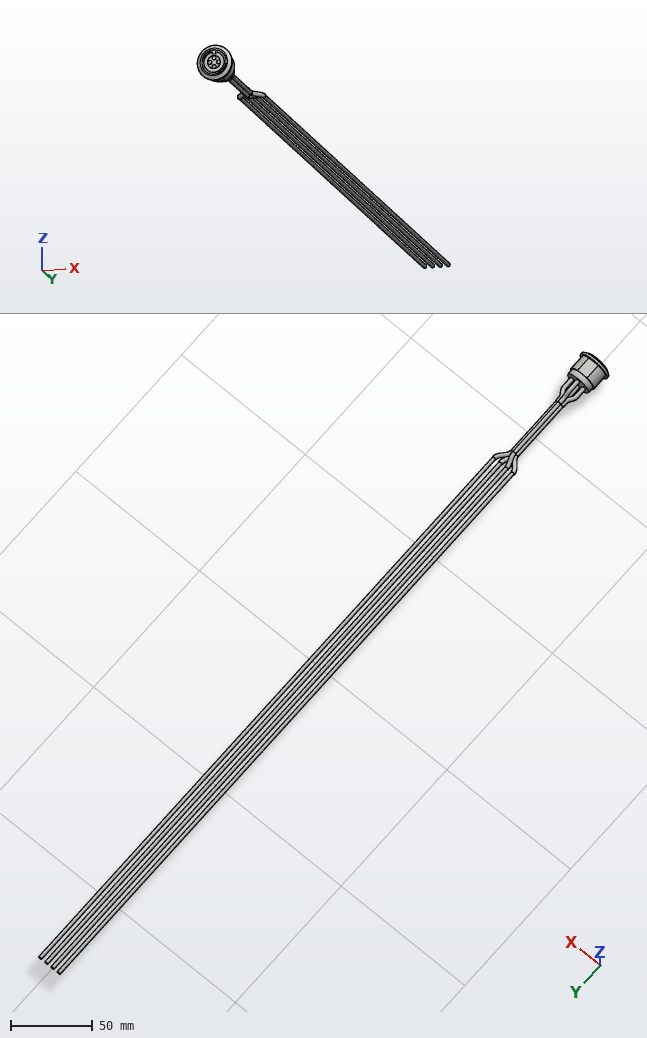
import cadquery as cq
import math

TOTAL_LENGTH = 517.86

FLANGE_DIAMETER = 22.0
FLANGE_THICKNESS = 3.08
FLANGE_BEVEL_DEPTH = 1.5
THREAD_DIAMETER = 19.0
THREAD_END_Y = 13.8
BODY_DIAMETER = 17.4
BODY_END_Y = 17.8
BODY_TAPER_LENGTH = 1.4
BODY_TAPER_ANGLE = 14.0

GROOVE_OUTER_DIAMETER = 15.4
GROOVE_INNER_DIAMETER = 13.0
GROOVE_DEPTH = 1.0
KEYWAY_WIDTH = 2.4
KEYWAY_INNER_Z = 5.1
SOCKET_DIAMETER = 8.2
SOCKET_DEPTH = 0.5
CONTACT_HOLE_DIAMETER = 2.5
CONTACT_HOLE_RADIUS = 2.8
CONTACT_HOLE_DEPTH = 1.0

SLEEVE_DIAMETER = 3.0
WIRE_DIAMETER = 2.5
WIRE_EMBEDMENT = 1.0
WIRE_EXIT_RADIUS = 4.7
BUNDLE_RADIUS = 1.8
FREE_WIRE_PITCH = 5.0

SPREAD_START_Y = 25.0
SPREAD_END_Y = 32.2
SLEEVE_END_Y = 35.5
FAN_START_Y = 78.2
FAN_END_Y = 88.3

SPREAD_CORNER = 1.4
FAN_CORNER = 1.8

ALONG = cq.Vector(0, 1, 0)


def cylinder(diameter, y_start, y_end, x=0.0, z=0.0):
    """Round bar along Y."""
    bar = cq.Solid.makeCylinder(diameter / 2, y_end - y_start, cq.Vector(x, y_start, z), ALONG)
    return cq.Workplane(bar)


def points_on_axes(radius):
    """Left, top, bottom and right (x, z) points around the Y axis."""
    return [(-radius, 0), (0, radius), (0, -radius), (radius, 0)]


def connector_body():
    """Bevelled flange, flatted thread and tapered rear barrel."""
    flange_radius = FLANGE_DIAMETER / 2
    body_radius = BODY_DIAMETER / 2
    taper_drop = BODY_TAPER_LENGTH * math.tan(math.radians(BODY_TAPER_ANGLE))
    outline = [
        (0, 0),
        (body_radius, 0),
        (flange_radius, FLANGE_BEVEL_DEPTH),
        (flange_radius, FLANGE_THICKNESS),
        (body_radius, FLANGE_THICKNESS),
        (body_radius, BODY_END_Y - BODY_TAPER_LENGTH),
        (body_radius - taper_drop, BODY_END_Y),
        (0, BODY_END_Y),
    ]
    body = cq.Workplane("XY").polyline(outline).close().revolve(360, (0, 0, 0), (0, 1, 0))
    thread = cylinder(THREAD_DIAMETER, FLANGE_THICKNESS, THREAD_END_Y)
    between_flats = cq.Workplane("XY").box(THREAD_DIAMETER, 2 * THREAD_END_Y, BODY_DIAMETER)
    return body.union(thread.intersect(between_flats))


def mating_face_cut():
    """Ring groove with a keyway at the top, shallow socket and four contact holes."""
    ring = cylinder(GROOVE_OUTER_DIAMETER, 0, GROOVE_DEPTH)
    ring = ring.cut(cylinder(GROOVE_INNER_DIAMETER, 0, GROOVE_DEPTH))
    keyway_outer_z = (GROOVE_INNER_DIAMETER + GROOVE_OUTER_DIAMETER) / 4
    keyway_height = keyway_outer_z - KEYWAY_INNER_Z
    keyway = cq.Workplane("XY").box(KEYWAY_WIDTH, GROOVE_DEPTH, keyway_height, centered=(True, False, False))
    keyway = keyway.translate((0, 0, KEYWAY_INNER_Z))
    cut = ring.union(keyway).union(cylinder(SOCKET_DIAMETER, 0, SOCKET_DEPTH))
    for x, z in points_on_axes(CONTACT_HOLE_RADIUS):
        cut = cut.union(cylinder(CONTACT_HOLE_DIAMETER, 0, CONTACT_HOLE_DEPTH, x, z))
    return cut


def s_bend(diameter, start, end, corner):
    """Round bar that starts and ends along Y, with a slanted middle and rounded corners."""
    start = cq.Vector(*start)
    end = cq.Vector(*end)
    first_corner = start + ALONG * corner
    second_corner = end - ALONG * corner
    slant = (second_corner - first_corner).normalized()
    slant_start = first_corner + slant * corner
    slant_end = second_corner - slant * corner
    first_arc = cq.Edge.makeTangentArc(start, ALONG, slant_start)
    middle = cq.Edge.makeLine(slant_start, slant_end)
    second_arc = cq.Edge.makeTangentArc(slant_end, slant, end)
    path = cq.Wire.assembleEdges([first_arc, middle, second_arc])
    profile = cq.Wire.makeCircle(diameter / 2, start, ALONG)
    return cq.Workplane(cq.Solid.sweep(profile, [], path))


def wire(exit_point, bundle_point, free_x):
    """One wire from the connector through the bundle to its free end."""
    exit_x, exit_z = exit_point
    bundle_x, bundle_z = bundle_point
    exit_run = cylinder(SLEEVE_DIAMETER, BODY_END_Y - WIRE_EMBEDMENT, SPREAD_START_Y, exit_x, exit_z)
    spread = s_bend(
        SLEEVE_DIAMETER,
        (exit_x, SPREAD_START_Y, exit_z),
        (bundle_x, SPREAD_END_Y, bundle_z),
        SPREAD_CORNER,
    )
    sleeve = cylinder(SLEEVE_DIAMETER, SPREAD_END_Y, SLEEVE_END_Y, bundle_x, bundle_z)
    bundle_run = cylinder(WIRE_DIAMETER, SLEEVE_END_Y, FAN_START_Y, bundle_x, bundle_z)
    fan = s_bend(
        SLEEVE_DIAMETER,
        (bundle_x, FAN_START_Y, bundle_z),
        (free_x, FAN_END_Y, 0),
        FAN_CORNER,
    )
    free_run = cylinder(WIRE_DIAMETER, FAN_END_Y, TOTAL_LENGTH, free_x)
    return exit_run.union(spread).union(sleeve).union(bundle_run).union(fan).union(free_run)


result = connector_body().cut(mating_face_cut())
exit_points = points_on_axes(WIRE_EXIT_RADIUS)
bundle_points = points_on_axes(BUNDLE_RADIUS)
wire_count = len(exit_points)
for index in range(wire_count):
    free_end_x = (index - (wire_count - 1) / 2) * FREE_WIRE_PITCH
    result = result.union(wire(exit_points[index], bundle_points[index], free_end_x))